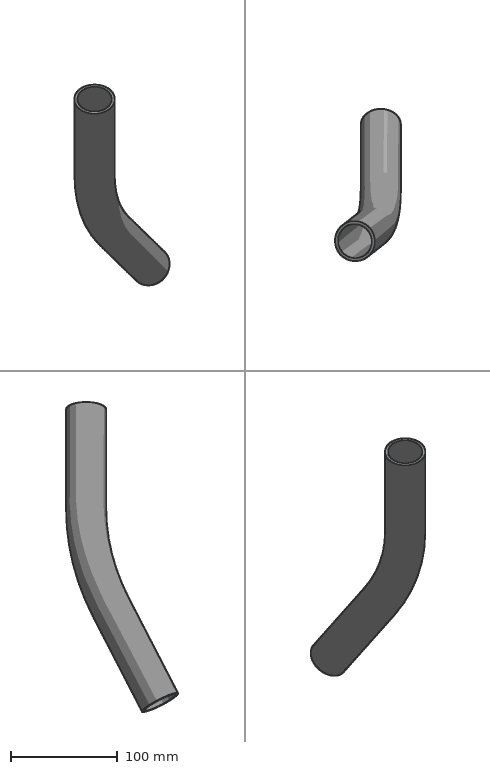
import cadquery as cq
import math

outer_diameter = 38.0
inner_diameter = 32.0

leg_length = 101.5
bend_radius = 190.7
bend_angle = 30.0


def bend_point(angle_degrees):
    """Centreline point (Y, Z) at an angle along the bend, which starts at the origin."""
    angle = math.radians(angle_degrees)
    return bend_radius * (1 - math.cos(angle)), -bend_radius * math.sin(angle)


bend_middle = bend_point(bend_angle / 2)
bend_end = bend_point(bend_angle)
lower_end = (
    bend_end[0] + leg_length * math.sin(math.radians(bend_angle)),
    bend_end[1] - leg_length * math.cos(math.radians(bend_angle)),
)

centreline = (
    cq.Workplane("YZ")
    .moveTo(0, leg_length)
    .lineTo(0, 0)
    .threePointArc(bend_middle, bend_end)
    .lineTo(*lower_end)
)

result = (
    cq.Workplane("XY", origin=(0, 0, leg_length))
    .circle(outer_diameter / 2)
    .circle(inner_diameter / 2)
    .sweep(centreline)
)